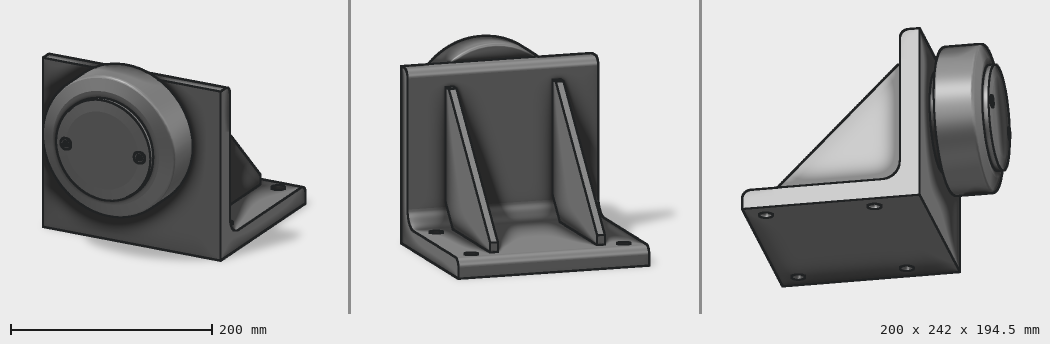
import cadquery as cq


bracket_width = 200.0
leg_length = 180.0
leg_thickness = 20.0
toe_radius = 9.0
root_radius = 18.0

rib_thickness = 8.0
rib_side_inset = 40.0
rib_toe_inset = 20.0
rib_end_height = 10.0
rib_root_chamfer = 22.5

hole_diameter = 13.8
hole_edge_inset = 20.0
hole_pitch_y = 110.0

axis_height = 120.0
hub_diameter = 101.5
hub_length = 8.5
roller_diameter = 149.0
roller_width = 45.5
roller_edge_radius = 3.5
roller_face_radius = 59.8
roller_cone_depth = 4.5
cap_diameter = 106.0
cap_length = 8.0
cap_face_radius = 41.0
cap_cone_depth = 1.7

screw_offset = 41.5
screw_recess_diameter = 12.3
screw_recess_depth = 4.8
screw_head_diameter = 11.5
socket_corner_diameter = 5.8
socket_depth = 3.0

roller_end = hub_length + roller_width
cap_end = roller_end + cap_length


def make_bracket():
    """L-section with rounded toes and root, extruded across the width."""
    section = (
        cq.Workplane("YZ")
        .polyline([
            (0, 0),
            (leg_length, 0),
            (leg_length, leg_thickness),
            (leg_thickness, leg_thickness),
            (leg_thickness, leg_length),
            (0, leg_length),
        ])
        .close()
        .extrude(bracket_width / 2, both=True)
    )
    root_point = (0, leg_thickness, leg_thickness)
    base_toe_point = (0, leg_length, leg_thickness)
    upright_toe_point = (0, leg_thickness, leg_length)
    return (
        section
        .edges(cq.NearestToPointSelector(root_point)).fillet(root_radius)
        .edges(cq.NearestToPointSelector(base_toe_point)).fillet(toe_radius)
        .edges(cq.NearestToPointSelector(upright_toe_point)).fillet(toe_radius)
    )


def make_rib(x_start):
    """45-degree gusset whose inner corner clears the root fillet."""
    rib_reach = leg_length - rib_toe_inset
    rib_end = leg_thickness + rib_end_height
    clear_point = leg_thickness + rib_root_chamfer
    return (
        cq.Workplane("YZ", origin=(x_start, 0, 0))
        .polyline([
            (clear_point, leg_thickness),
            (rib_reach, leg_thickness),
            (rib_reach, rib_end),
            (rib_end, rib_reach),
            (leg_thickness, rib_reach),
            (leg_thickness, clear_point),
        ])
        .close()
        .extrude(rib_thickness)
    )


def make_mounting_holes():
    """Four cutters through the base leg."""
    hole_x = bracket_width / 2 - hole_edge_inset
    far_y = leg_length - hole_edge_inset
    centres = [(x, y) for x in (-hole_x, hole_x) for y in (far_y - hole_pitch_y, far_y)]
    return cq.Workplane("XY").pushPoints(centres).circle(hole_diameter / 2).extrude(leg_thickness)


def axial_plane(distance):
    """Plane across the roller axis, facing -Y, at a distance from the mounting face."""
    return cq.Workplane("XZ", origin=(0, -distance, axis_height))


def revolve_about_axis(profile):
    """Revolve (radius, distance) points about the roller axis."""
    points = [(radius, -distance) for radius, distance in profile]
    return (
        cq.Workplane("XY", origin=(0, 0, axis_height))
        .polyline(points)
        .close()
        .revolve(360, (0, 0, 0), (0, 1, 0))
    )


def make_roller():
    """Hub, round-edged roller with a shallow conical face, and a conical end cap."""
    hub = axial_plane(0).circle(hub_diameter / 2).extrude(hub_length)
    roller_radius = roller_diameter / 2
    roller = revolve_about_axis([
        (0, hub_length),
        (roller_radius, hub_length),
        (roller_radius, roller_end - roller_cone_depth),
        (roller_face_radius, roller_end),
        (0, roller_end),
    ])
    rim_edges = cq.selectors.RadiusNthSelector(-1)
    roller = roller.edges("%CIRCLE").edges(rim_edges).fillet(roller_edge_radius)
    cap_radius = cap_diameter / 2
    cap = revolve_about_axis([
        (0, roller_end),
        (cap_radius, roller_end),
        (cap_radius, cap_end - cap_cone_depth),
        (cap_face_radius, cap_end),
        (0, cap_end),
    ])
    return hub.union(roller).union(cap)


def add_cap_screws(body):
    """Two socket-head screws in clearance recesses, flush with the cap face."""
    recess_floor = cap_end - screw_recess_depth
    centres = [(-screw_offset, 0), (screw_offset, 0)]
    recesses = (
        axial_plane(recess_floor).pushPoints(centres)
        .circle(screw_recess_diameter / 2).extrude(screw_recess_depth)
    )
    heads = (
        axial_plane(recess_floor).pushPoints(centres)
        .circle(screw_head_diameter / 2).extrude(screw_recess_depth)
    )
    sockets = (
        axial_plane(cap_end - socket_depth).pushPoints(centres)
        .polygon(6, socket_corner_diameter).extrude(socket_depth)
    )
    return body.cut(recesses).union(heads).cut(sockets)


bracket = make_bracket()
left_rib_start = rib_side_inset - bracket_width / 2
for rib_start in (left_rib_start, -left_rib_start - rib_thickness):
    bracket = bracket.union(make_rib(rib_start))
bracket = bracket.cut(make_mounting_holes())

result = bracket.union(add_cap_screws(make_roller()))